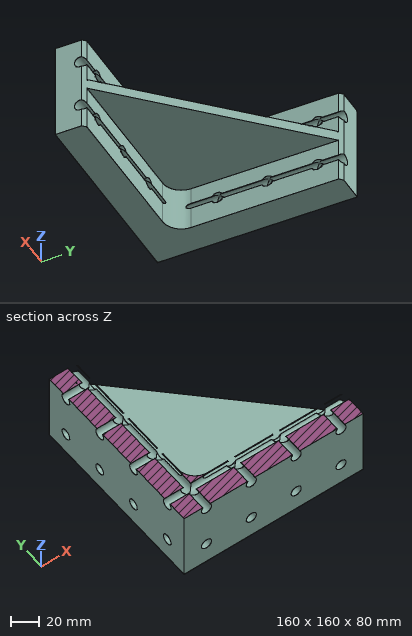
import cadquery as cq

leg_length = 160.0
height = 80.0

wall = 24.0
inner_corner_radius = 15.0
tip_width = 21.3

web_thickness = 8.0

hole_diameter = 9.0
hole_columns = 4
hole_rows = 2
column_pitch = leg_length / hole_columns
row_pitch = height / hole_rows


def triangular_block():
    """Full-height block whose diagonal face also trims the wall tips."""
    outline = [
        (0, 0),
        (leg_length, 0),
        (leg_length, tip_width),
        (tip_width, leg_length),
        (0, leg_length),
    ]
    return cq.Workplane("XY").polyline(outline).close().extrude(height)


def inner_pocket(floor_z, depth):
    """Space between the walls on one side of the web."""
    return (
        cq.Workplane("XY", origin=(wall, wall, floor_z))
        .rect(leg_length, leg_length, centered=False)
        .extrude(depth)
        .edges("|Z and <X and <Y")
        .fillet(inner_corner_radius)
    )


def wall_holes(plane, through_direction):
    """Grid of drills entering one wall and running the full depth of the part."""
    return (
        cq.Workplane(plane)
        .center(leg_length / 2, height / 2)
        .rarray(column_pitch, row_pitch, hole_columns, hole_rows)
        .circle(hole_diameter / 2)
        .extrude(through_direction * leg_length)
    )


pocket_depth = (height - web_thickness) / 2
result = triangular_block()
for floor_z in (0, height - pocket_depth):
    result = result.cut(inner_pocket(floor_z, pocket_depth))

result = result.cut(wall_holes("XZ", -1))
result = result.cut(wall_holes("YZ", 1))